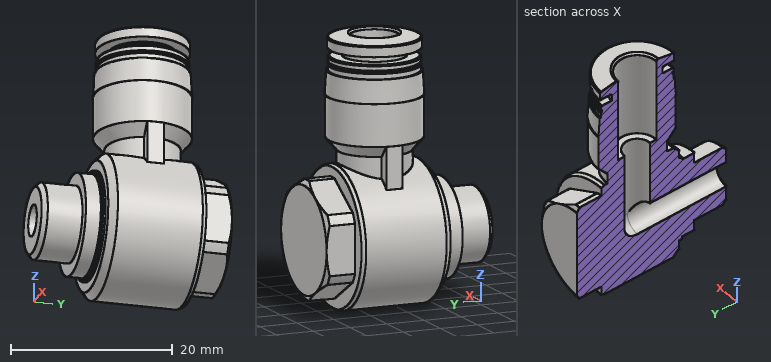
import cadquery as cq
import math


body_radius = 9.2
body_back = 5.73
body_front = -6.65
body_back_chamfer_length = 0.52
body_back_chamfer_depth = 0.25
body_front_chamfer = 0.97

seal_radius = 13.9 / 2
seal_front = -7.15
seal_chamfer = 0.2
flange_radius = 13.0 / 2
flange_front = -9.05
thread_radius = 4.85
thread_front = -14.12
thread_chamfer = 0.62

head_back = 9.58
head_across_flats = 13.9
head_corner_radius = 15.3 / 2
head_chamfer_length = 0.4
head_turn = 30

socket_radius = 6.15
socket_lip_radius = 12.4 / 2
socket_neck_radius = 4.75
socket_neck_top = 10.75
socket_cylinder_bottom = 12.32
socket_cylinder_top = 17.75
socket_top = 20.82
socket_top_radius = 6.0
rib_width = 2.15

collar_radius = 5.8
collar_chamfer = 0.17
collar_groove_bottom = 21.7
collar_groove_top = 21.9
collar_top = 22.65
button_neck_radius = 8.1 / 2
button_neck_flare = 0.17
button_radius = 5.9
button_edge_chamfer = 0.15
button_bottom = 23.65
button_edge_top = 25.05
button_top = 25.5
button_mouth_radius = 3.3

bore_radius = 4.0 / 2
tube_radius = 6.0 / 2
tube_seat = 12.15


def make_body_and_screw():
    """Turned profile of the body, seal, flange and threaded end, revolved about Y."""
    profile = [
        (0, body_back),
        (body_radius - body_back_chamfer_depth, body_back),
        (body_radius, body_back - body_back_chamfer_length),
        (body_radius, body_front + body_front_chamfer),
        (body_radius - body_front_chamfer, body_front),
        (seal_radius, body_front),
        (seal_radius, seal_front + seal_chamfer),
        (seal_radius - seal_chamfer, seal_front),
        (flange_radius, seal_front),
        (flange_radius, flange_front),
        (thread_radius, flange_front),
        (thread_radius, thread_front + thread_chamfer),
        (thread_radius - thread_chamfer, thread_front),
        (0, thread_front),
    ]
    return cq.Workplane("XY").polyline(profile).close().revolve(360, (0, 0, 0), (0, 1, 0))


def make_head():
    """Hexagon with flats facing +X and -X, its corners turned down and chamfered at the back."""
    hexagon = (
        cq.Workplane("XZ")
        .transformed(rotate=(0, 0, head_turn))
        .polygon(6, head_across_flats / math.cos(math.pi / 6))
        .extrude(-head_back)
    )
    turned_blank = [
        (0, 0),
        (head_corner_radius, 0),
        (head_corner_radius, head_back - head_chamfer_length),
        (head_across_flats / 2, head_back),
        (0, head_back),
    ]
    blank = cq.Workplane("XY").polyline(turned_blank).close().revolve(360, (0, 0, 0), (0, 1, 0))
    return hexagon.intersect(blank)


def make_socket():
    """Socket, collar and release button, revolved about Z."""
    profile = [
        (0, 0),
        (socket_neck_radius, 0),
        (socket_neck_radius, socket_neck_top),
        (socket_radius, socket_cylinder_bottom),
        (socket_radius, socket_cylinder_top),
        (socket_lip_radius, socket_cylinder_top),
        (socket_top_radius, socket_top),
        (collar_radius, socket_top),
        (collar_radius, collar_groove_bottom - collar_chamfer),
        (collar_radius - collar_chamfer, collar_groove_bottom),
        (collar_radius - collar_chamfer, collar_groove_top),
        (collar_radius, collar_groove_top),
        (collar_radius, collar_top - collar_chamfer),
        (collar_radius - collar_chamfer, collar_top),
        (button_neck_radius, collar_top),
        (button_neck_radius, button_bottom - button_neck_flare),
        (button_neck_radius + button_neck_flare, button_bottom),
        (button_radius, button_bottom),
        (button_radius, button_edge_top - button_edge_chamfer),
        (button_radius - button_edge_chamfer, button_edge_top),
        (button_mouth_radius, button_top),
        (0, button_top),
    ]
    return cq.Workplane("XZ").polyline(profile).close().revolve(360, (0, 0, 0), (0, 1, 0))


def make_ribs():
    """Flat web through the socket neck that stands out as a rib on both sides."""
    return cq.Workplane("XY").rect(2 * socket_radius, rib_width).extrude(socket_cylinder_bottom)


def make_bores():
    """Elbow passage with a spherical corner, and the stepped tube hole above it."""
    corner = cq.Workplane("XY").sphere(bore_radius)
    screw_bore = cq.Workplane("XZ").circle(bore_radius).extrude(-thread_front)
    socket_bore = cq.Workplane("XY").circle(bore_radius).extrude(button_top)
    mouth_chamfer = button_mouth_radius - tube_radius
    tube_profile = [
        (0, tube_seat),
        (tube_radius, tube_seat),
        (tube_radius, button_top - mouth_chamfer),
        (button_mouth_radius, button_top),
        (0, button_top),
    ]
    tube_hole = cq.Workplane("XZ").polyline(tube_profile).close().revolve(360, (0, 0, 0), (0, 1, 0))
    return corner.union(screw_bore).union(socket_bore).union(tube_hole)


fitting = make_body_and_screw().union(make_head()).union(make_socket()).union(make_ribs())
result = fitting.cut(make_bores())